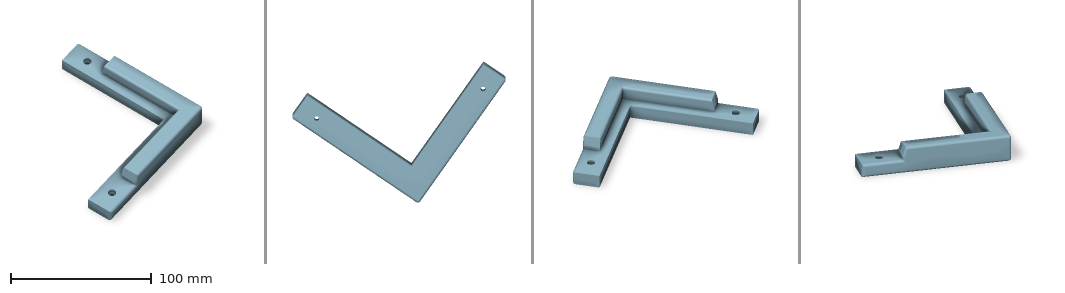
import cadquery as cq

leg_length = 110.0
leg_width = 20.0
base_height = 10.0

rail_width = 12.8
rail_setback = 30.0
total_height = 20.0
end_slope_start = 13.0
end_slope_run = 2.0

edge_radius = 2.0

hole_diameter = 3.5
counterbore_diameter = 5.9
counterbore_depth = 3.1
hole_from_end = 15.0
hole_from_outer_side = leg_width / 2


def angle_block(start, width, height):
    """L block whose legs begin at `start` and whose outer sides lie on X and Y = leg_length."""
    inner = leg_length - width
    return (
        cq.Workplane("XY")
        .moveTo(start, leg_length)
        .lineTo(leg_length, leg_length)
        .lineTo(leg_length, start)
        .lineTo(inner, start)
        .lineTo(inner, inner)
        .lineTo(start, inner)
        .close()
        .extrude(height)
    )


def round_outer_sides(body):
    """Round every edge around the two outer side faces."""
    return body.faces(">X or >Y").edges().fillet(edge_radius)


def end_wedge(plane, reach):
    """Wedge that leans back one end of the rail, drawn on `plane` and extruded by `reach`."""
    return (
        cq.Workplane(plane)
        .moveTo(rail_setback, end_slope_start)
        .lineTo(rail_setback + end_slope_run, total_height)
        .lineTo(rail_setback, total_height)
        .close()
        .extrude(reach)
    )


def round_inner_top(rail):
    """Round the two top edges on the inner side of the rail."""
    inner = leg_length - rail_width
    middle = (rail_setback + inner) / 2
    x_leg_edge = rail.edges(cq.selectors.NearestToPointSelector((middle, inner, total_height)))
    y_leg_edge = rail.edges(cq.selectors.NearestToPointSelector((inner, middle, total_height)))
    return x_leg_edge.add(y_leg_edge).fillet(edge_radius)


def make_base():
    return round_outer_sides(angle_block(0, leg_width, base_height))


def make_rail():
    rail = angle_block(rail_setback, rail_width, total_height)
    rail = rail.cut(end_wedge("XZ", -leg_length))
    rail = rail.cut(end_wedge("YZ", leg_length))
    return round_inner_top(round_outer_sides(rail))


def screw_hole(x, y):
    """Cutter for one counterbored hole through the base at (x, y)."""
    shank = cq.Workplane("XY").center(x, y).circle(hole_diameter / 2).extrude(base_height)
    head = (
        cq.Workplane("XY", origin=(x, y, base_height))
        .circle(counterbore_diameter / 2)
        .extrude(-counterbore_depth)
    )
    return shank.union(head)


result = make_base().union(make_rail())
hole_across = leg_length - hole_from_outer_side
for hole_x, hole_y in ((hole_from_end, hole_across), (hole_across, hole_from_end)):
    result = result.cut(screw_hole(hole_x, hole_y))